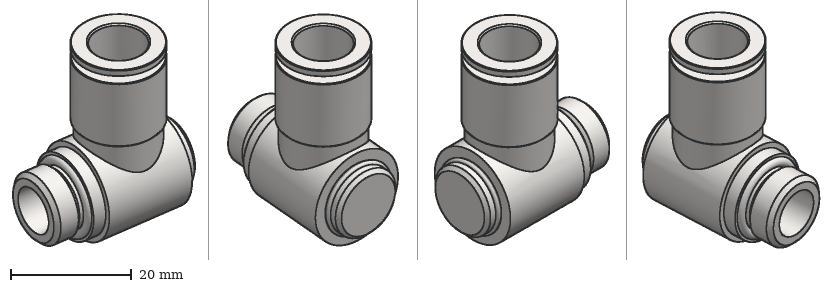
import cadquery as cq


body_radius = 9.0
body_half_length = 8.55

collar_radius = 8.0
collar_end = -11.0
seal_section_radius = 0.85
neck_radius = 5.72
seal_outer_radius = neck_radius + 2 * seal_section_radius
spigot_radius = 6.55
spigot_start = -12.25
front_end = -17.55
spigot_chamfer = spigot_radius - neck_radius

plug_radius = spigot_radius
rear_end = 11.5
plug_chamfer = 0.72
retainer_section_radius = 0.55
retainer_centre = 9.0

stem_radius = 7.5
sleeve_radius = collar_radius
sleeve_bottom = 10.98
sleeve_bottom_chamfer = sleeve_radius - stem_radius
sleeve_top = 24.23
release_neck_radius = neck_radius
flange_bottom = 25.78
socket_top = 27.0
rim_chamfer = 0.15

bore_radius = 4.25
tube_radius = 5.0
tube_seat = sleeve_bottom
tube_chamfer = 0.3


def y_cylinder(radius, y_start, y_end):
    """Cylinder on the Y axis between two positions, y_start < y_end."""
    return cq.Workplane("XZ", origin=(0, y_end, 0)).circle(radius).extrude(y_end - y_start)


def z_cylinder(radius, z_start, z_end):
    """Cylinder on the Z axis between two heights."""
    return cq.Workplane("XY", origin=(0, 0, z_start)).circle(radius).extrude(z_end - z_start)


def y_ring(centre_radius, section_radius, y_centre):
    """Ring of round section around the Y axis."""
    section = cq.Workplane("XY").center(centre_radius, y_centre).circle(section_radius)
    return section.revolve(360, (-centre_radius, 0, 0), (-centre_radius, 1, 0))


def horizontal_body():
    body = y_cylinder(body_radius, -body_half_length, body_half_length)
    collar = y_cylinder(collar_radius, collar_end, 0)
    neck = y_cylinder(neck_radius, spigot_start, 0)
    spigot = y_cylinder(spigot_radius, front_end, spigot_start).edges().chamfer(spigot_chamfer)
    seal = y_ring(seal_outer_radius - seal_section_radius, seal_section_radius, collar_end)
    plug = y_cylinder(plug_radius, 0, rear_end).faces(">Y").edges().chamfer(plug_chamfer)
    retainer = y_ring(plug_radius, retainer_section_radius, retainer_centre)
    for piece in (collar, neck, spigot, seal, plug, retainer):
        body = body.union(piece)
    return body


def vertical_socket():
    stem = z_cylinder(stem_radius, 0, sleeve_bottom)
    sleeve = z_cylinder(sleeve_radius, sleeve_bottom, sleeve_top)
    sleeve = sleeve.faces("<Z").edges().chamfer(sleeve_bottom_chamfer)
    sleeve = sleeve.faces(">Z").edges().chamfer(rim_chamfer)
    release_neck = z_cylinder(release_neck_radius, sleeve_top, flange_bottom)
    flange = z_cylinder(sleeve_radius, flange_bottom, socket_top)
    flange = flange.faces(">Z").edges().chamfer(rim_chamfer)
    return stem.union(sleeve).union(release_neck).union(flange)


def passages():
    """Elbow bore with a spherical corner, a tube seat and its lead-in chamfer."""
    corner = cq.Workplane("XY").sphere(bore_radius)
    front_bore = y_cylinder(bore_radius, front_end, 0)
    upper_bore = z_cylinder(bore_radius, 0, socket_top)
    tube_bore = z_cylinder(tube_radius, tube_seat, socket_top)
    mouth = cq.Workplane("XY", origin=(0, 0, socket_top)).circle(tube_radius + tube_chamfer)
    lead_in = mouth.workplane(offset=-tube_chamfer).circle(tube_radius).loft()
    return front_bore.union(upper_bore).union(corner).union(tube_bore).union(lead_in)


result = horizontal_body().union(vertical_socket()).cut(passages())